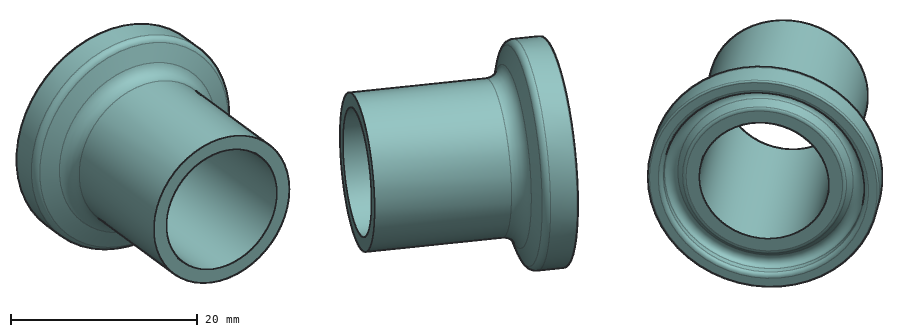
import cadquery as cq
import math

length = 21.5
flange_radius = 12.5
tube_radius = 8.6
bore_radius = 7.0

front_edge_fillet = 0.2
flange_rim_end = 3.1
back_fillet = 0.85
neck_fillet = 2.0
back_slope = math.radians(20)

groove_outer_radius = 11.35
groove_inner_radius = 8.45
groove_lip_fillet = 0.5
groove_floor_fillet = 0.78
land_depth = 0.8


def arc_point(center, radius, angle):
    """Point (x, r) on a circle, with the angle measured from the X axis."""
    return (center[0] + radius * math.cos(angle), center[1] + radius * math.sin(angle))


def add_arc(profile, center, radius, start, end):
    """Extend the profile along an arc from the start angle to the end angle."""
    middle = arc_point(center, radius, (start + end) / 2)
    return profile.threePointArc(middle, arc_point(center, radius, end))


def make_body():
    """Revolve the flange, sloped back and tube, with the bore left open."""
    back_center = (flange_rim_end, flange_radius - back_fillet)
    back_end = arc_point(back_center, back_fillet, back_slope)

    neck_center_radius = tube_radius + neck_fillet
    cone_end_radius = neck_center_radius - neck_fillet * math.sin(back_slope)
    cone_end_x = back_end[0] + (back_end[1] - cone_end_radius) * math.tan(back_slope)
    neck_center = (cone_end_x + neck_fillet * math.cos(back_slope), neck_center_radius)

    profile = cq.Workplane("XY").moveTo(0, bore_radius)
    profile = profile.lineTo(0, flange_radius - front_edge_fillet)
    front_center = (front_edge_fillet, flange_radius - front_edge_fillet)
    profile = add_arc(profile, front_center, front_edge_fillet, math.pi, math.pi / 2)
    profile = profile.lineTo(flange_rim_end, flange_radius)
    profile = add_arc(profile, back_center, back_fillet, math.pi / 2, back_slope)
    profile = profile.lineTo(cone_end_x, cone_end_radius)
    profile = add_arc(profile, neck_center, neck_fillet, math.pi + back_slope, 1.5 * math.pi)
    profile = profile.lineTo(length, tube_radius).lineTo(length, bore_radius).close()
    return profile.revolve(360, (0, 0, 0), (1, 0, 0))


def make_groove():
    """Revolve the groove: rounded lips, a round floor, a conical inner side and the recessed land."""
    outer_lip = (groove_lip_fillet, groove_outer_radius)
    floor_center_x = land_depth + groove_lip_fillet
    inner_lip = (floor_center_x, groove_inner_radius)
    floor = (floor_center_x, groove_outer_radius - groove_lip_fillet - groove_floor_fillet)

    center_distance = floor[1] - inner_lip[1]
    tangent_angle = math.acos((groove_lip_fillet + groove_floor_fillet) / center_distance)
    lip_end_angle = math.pi / 2 + tangent_angle
    floor_end_angle = tangent_angle - math.pi / 2

    profile = cq.Workplane("XY").moveTo(0, groove_outer_radius)
    profile = add_arc(profile, outer_lip, groove_lip_fillet, math.pi, 1.5 * math.pi)
    profile = profile.lineTo(floor_center_x, groove_outer_radius - groove_lip_fillet)
    profile = add_arc(profile, floor, groove_floor_fillet, math.pi / 2, floor_end_angle)
    profile = profile.lineTo(*arc_point(inner_lip, groove_lip_fillet, lip_end_angle))
    profile = add_arc(profile, inner_lip, groove_lip_fillet, lip_end_angle, math.pi)
    profile = profile.lineTo(land_depth, 0).lineTo(0, 0).close()
    return profile.revolve(360, (0, 0, 0), (1, 0, 0))


result = make_body().cut(make_groove())